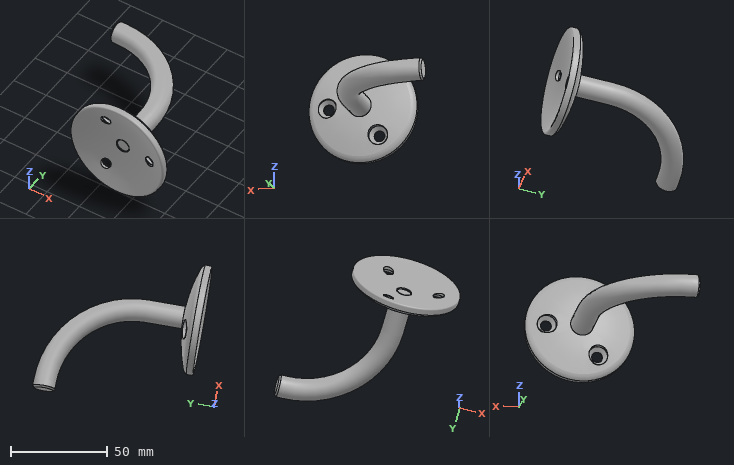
import cadquery as cq
import math

plate_radius = 29.0
rim_height = 3.6
edge_rounding = 1.0
bowl_depth = 5.85
dome_radius = 26.2
dome_base = 5.85
dome_height = 10.3
shoulder_bulge = 0.3

hole_count = 3
hole_radius = 2.8
hole_circle_radius = 18.0
head_radius = 5.0
sink_start = 4.4

arm_radius = 6.0
arm_total_height = 81.2
arm_reach = 50.0
bend_radius = 46.0
end_chamfer = 1.0
spigot_radius = 4.0
spigot_chamfer = 0.4
spigot_recess = 0.3


def arc_height(radius, chord_radius, base, crown):
    """Height at a radius of the spherical cap through its edge and crown."""
    rise = crown - base
    sphere_radius = (chord_radius**2 + rise**2) / (2 * rise)
    return crown - sphere_radius + math.sqrt(sphere_radius**2 - radius**2)


arm_seat = arc_height(arm_radius, dome_radius, dome_base, dome_height)


def y_cylinder(radius, start, end):
    """Cylinder on the Y axis from start to end."""
    base = cq.Plane(origin=(0, start, 0), xDir=(1, 0, 0), normal=(0, 1, 0))
    return cq.Workplane(base).circle(radius).extrude(end - start)


def screw_hole(x, z):
    """Cutter for one bore, its 90 degree countersink and the recess above it."""
    sink_depth = head_radius - hole_radius
    return (
        cq.Workplane("XY")
        .lineTo(hole_radius, 0)
        .lineTo(hole_radius, sink_start)
        .lineTo(head_radius, sink_start + sink_depth)
        .lineTo(head_radius, dome_height)
        .lineTo(0, dome_height)
        .close()
        .revolve(360, (0, 0, 0), (0, 1, 0))
        .translate((x, 0, z))
    )


def make_plate():
    dome_mid = dome_radius / 2
    shoulder_run = plate_radius - dome_radius
    shoulder_rise = dome_base - rim_height
    shoulder_chord = math.hypot(shoulder_run, shoulder_rise)
    shoulder_mid = (
        (plate_radius + dome_radius) / 2 + shoulder_bulge * shoulder_rise / shoulder_chord,
        (rim_height + dome_base) / 2 + shoulder_bulge * shoulder_run / shoulder_chord,
    )

    rounding_x = plate_radius - edge_rounding
    centre_drop = (rounding_x**2 - bowl_depth**2) / (2 * bowl_depth)
    bowl_centre = edge_rounding - centre_drop
    bowl_sphere_radius = bowl_depth - bowl_centre
    tangent_angle = math.atan2(centre_drop, rounding_x)
    bowl_edge = (
        bowl_sphere_radius * math.cos(tangent_angle),
        bowl_centre + bowl_sphere_radius * math.sin(tangent_angle),
    )
    bowl_mid_angle = (tangent_angle + math.pi / 2) / 2
    bowl_mid = (
        bowl_sphere_radius * math.cos(bowl_mid_angle),
        bowl_centre + bowl_sphere_radius * math.sin(bowl_mid_angle),
    )

    plate = (
        cq.Workplane("XY")
        .moveTo(0, bowl_depth)
        .threePointArc(bowl_mid, bowl_edge)
        .threePointArc((rounding_x, 0), (plate_radius, edge_rounding))
        .lineTo(plate_radius, rim_height)
        .threePointArc(shoulder_mid, (dome_radius, dome_base))
        .threePointArc(
            (dome_mid, arc_height(dome_mid, dome_radius, dome_base, dome_height)), (0, dome_height)
        )
        .close()
        .revolve(360, (0, 0, 0), (0, 1, 0))
    )
    for index in range(hole_count):
        angle = 2 * math.pi * index / hole_count
        x = hole_circle_radius * math.cos(angle)
        z = hole_circle_radius * math.sin(angle)
        plate = plate.cut(screw_hole(x, z))
    plate = plate.cut(y_cylinder(arm_radius, arm_seat, dome_height))
    return plate.cut(y_cylinder(spigot_radius, 0, dome_height))


def make_arm():
    bend_start = arm_total_height - arm_radius - bend_radius
    bend_diagonal = bend_radius * math.sqrt(0.5)
    path = (
        cq.Workplane("XY")
        .moveTo(0, arm_seat)
        .lineTo(0, bend_start)
        .threePointArc(
            (bend_diagonal - bend_radius, bend_start + bend_diagonal),
            (-bend_radius, bend_start + bend_radius),
        )
        .lineTo(-arm_reach, bend_start + bend_radius)
    )
    seat_plane = cq.Plane(origin=(0, arm_seat, 0), xDir=(1, 0, 0), normal=(0, 1, 0))
    arm = cq.Workplane(seat_plane).circle(arm_radius).sweep(path)
    arm = arm.faces("<X").chamfer(end_chamfer)
    spigot = y_cylinder(spigot_radius, bowl_depth + spigot_recess, arm_seat).faces("<Y").chamfer(spigot_chamfer)
    return arm.union(spigot)


plate = make_plate()
arm = make_arm()
result = cq.Compound.makeCompound([plate.val(), arm.val()])